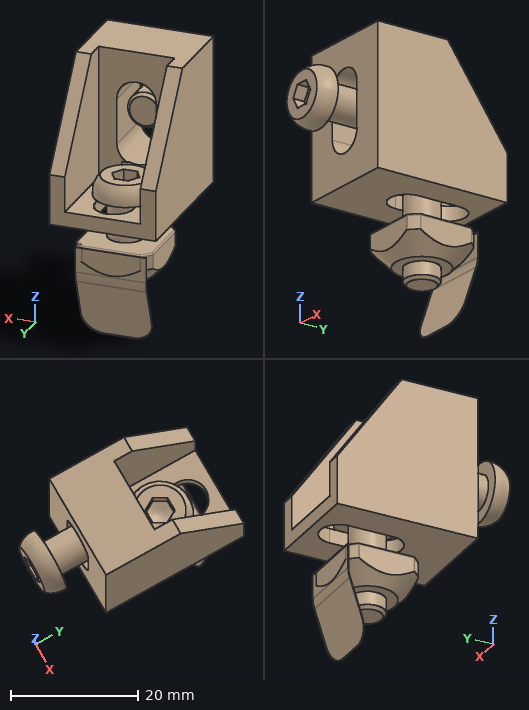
import cadquery as cq
import math

housing_width = 18.0
housing_side = 25.0
top_depth = 13.55
back_height = 8.55
pocket_width = 12.75
front_wall = 10.3
floor_thickness = 2.55
slot_length = 14.4
front_slot_width = 6.65
front_slot_bottom = 5.45
floor_slot_width = 6.45
floor_slot_back = 23.25

shank_diameter = 6.0
tip_diameter = 5.0
tip_chamfer_height = 0.6
head_diameter = 10.5
head_face_diameter = 8.15
head_height = 3.3
head_bulge = 0.4
socket_flats = 4.0
socket_wall_depth = 2.1
socket_cone_depth = 0.9
front_screw_length = 12.0
front_screw_seat = -5.0
front_screw_height = 13.55
floor_screw_length = 16.0
floor_screw_y = 14.95

nut_side = 13.0
nut_height = 6.0
nut_top = -4.5
nut_corner_radius = 8.15
nut_base_radius = 4.85
nut_edge_fillet = 0.2
nut_top_fillet = 0.27

leaf_width = 12.0
leaf_thickness = 0.115
leaf_top = -4.85
leaf_bend = -9.95
leaf_bend_radius = 5.45
leaf_tip = housing_side - 45.55
leaf_lean = 18.4
leaf_corner_radius = 3.5


def make_housing():
    body = (
        cq.Workplane("YZ")
        .polyline([
            (0, 0),
            (housing_side, 0),
            (housing_side, back_height),
            (top_depth, housing_side),
            (0, housing_side),
        ])
        .close()
        .extrude(housing_width / 2, both=True)
    )
    pocket = (
        cq.Workplane("XY", origin=(0, front_wall, floor_thickness))
        .box(pocket_width, housing_side, housing_side, centered=(True, False, False))
    )
    front_slot = (
        cq.Workplane("XZ", origin=(0, 0, front_slot_bottom + slot_length / 2))
        .slot2D(slot_length, front_slot_width, 90)
        .extrude(-front_wall)
    )
    floor_slot = (
        cq.Workplane("XY", origin=(0, floor_slot_back - slot_length / 2, 0))
        .slot2D(slot_length, floor_slot_width, 90)
        .extrude(floor_thickness)
    )
    head_relief = (
        cq.Workplane("XY", origin=(0, floor_screw_y, floor_thickness))
        .circle(head_diameter / 2)
        .extrude(head_height)
    )
    return body.cut(pocket).cut(front_slot).cut(floor_slot).cut(head_relief)


def make_socket():
    """Hexagonal socket below the head face, ending in a cone."""
    corner_diameter = socket_flats / math.cos(math.radians(30))
    full_depth = socket_wall_depth + socket_cone_depth
    hexagon = (
        cq.Workplane("XY", origin=(0, 0, head_height))
        .polygon(6, corner_diameter)
        .extrude(-full_depth)
    )
    drill = (
        cq.Workplane("XZ")
        .polyline([
            (0, head_height),
            (corner_diameter / 2, head_height),
            (corner_diameter / 2, head_height - socket_wall_depth),
            (0, head_height - full_depth),
        ])
        .close()
        .revolve(360, (0, 0), (0, 1))
    )
    return hexagon.intersect(drill)


def make_screw(length):
    """Screw along Z with its head above the XY plane."""
    head_radius = head_diameter / 2
    face_radius = head_face_diameter / 2
    side_length = math.hypot(head_radius - face_radius, head_height)
    dome_middle = (
        (head_radius + face_radius) / 2 + head_bulge * head_height / side_length,
        head_height / 2 + head_bulge * (head_radius - face_radius) / side_length,
    )
    blank = (
        cq.Workplane("XZ")
        .moveTo(0, -length)
        .lineTo(tip_diameter / 2, -length)
        .lineTo(shank_diameter / 2, -length + tip_chamfer_height)
        .lineTo(shank_diameter / 2, 0)
        .lineTo(head_radius, 0)
        .threePointArc(dome_middle, (face_radius, head_height))
        .lineTo(0, head_height)
        .close()
        .revolve(360, (0, 0), (0, 1))
    )
    return blank.cut(make_socket())


def make_nut():
    nut_bottom = nut_top - nut_height
    cone_height = nut_corner_radius - nut_base_radius
    square = (
        cq.Workplane("XY", origin=(0, floor_screw_y, nut_bottom))
        .rect(nut_side, nut_side)
        .extrude(nut_height)
    )
    round_corners = (
        cq.Workplane("XY", origin=(0, floor_screw_y, nut_bottom))
        .circle(nut_corner_radius)
        .extrude(nut_height)
    )
    body = square.intersect(round_corners)
    body = body.edges("|Z").fillet(nut_edge_fillet)
    body = body.faces(">Z").edges().fillet(nut_top_fillet)
    cone_envelope = (
        cq.Workplane("XZ", origin=(0, floor_screw_y, nut_bottom))
        .polyline([
            (0, 0),
            (nut_base_radius, 0),
            (nut_corner_radius, cone_height),
            (nut_corner_radius, nut_height),
            (0, nut_height),
        ])
        .close()
        .revolve(360, (0, 0), (0, 1))
    )
    bore = (
        cq.Workplane("XY", origin=(0, floor_screw_y, nut_bottom))
        .circle(shank_diameter / 2)
        .extrude(nut_height)
    )
    return body.intersect(cone_envelope).cut(bore)


def make_leaf():
    lean = math.radians(leaf_lean)
    nut_back = floor_screw_y + nut_side / 2
    inner_radius = leaf_bend_radius - leaf_thickness
    bend_start = leaf_bend + leaf_bend_radius * math.tan(lean / 2)
    bend_center = nut_back - inner_radius

    def bend_point(radius, angle):
        return (bend_center + radius * math.cos(angle), bend_start - radius * math.sin(angle))

    outer_end = bend_point(leaf_bend_radius, lean)
    inner_end = bend_point(inner_radius, lean)
    lower_length = (outer_end[1] - leaf_tip) / math.cos(lean)
    run = -lower_length * math.sin(lean)
    drop = -lower_length * math.cos(lean)
    strip = (
        cq.Workplane("YZ")
        .moveTo(nut_back, leaf_top)
        .lineTo(nut_back + leaf_thickness, leaf_top)
        .lineTo(nut_back + leaf_thickness, bend_start)
        .threePointArc(bend_point(leaf_bend_radius, lean / 2), outer_end)
        .lineTo(outer_end[0] + run, outer_end[1] + drop)
        .lineTo(inner_end[0] + run, inner_end[1] + drop)
        .lineTo(*inner_end)
        .threePointArc(bend_point(inner_radius, lean / 2), (nut_back, bend_start))
        .close()
        .extrude(leaf_width / 2, both=True)
    )
    tip_corners = cq.selectors.BoxSelector(
        (-leaf_width, 0, leaf_tip - 0.45), (leaf_width, housing_side, leaf_tip + 0.45)
    )
    return strip.edges(tip_corners).edges("not |X").fillet(leaf_corner_radius)


housing = make_housing()
front_screw = (
    make_screw(front_screw_length)
    .rotate((0, 0, 0), (1, 0, 0), 90)
    .translate((0, front_screw_seat, front_screw_height))
)
floor_screw = make_screw(floor_screw_length).translate((0, floor_screw_y, floor_thickness))
nut = make_nut()
leaf = make_leaf()

result = cq.Compound.makeCompound([
    housing.val(),
    front_screw.val(),
    floor_screw.val(),
    nut.val(),
    leaf.val(),
])